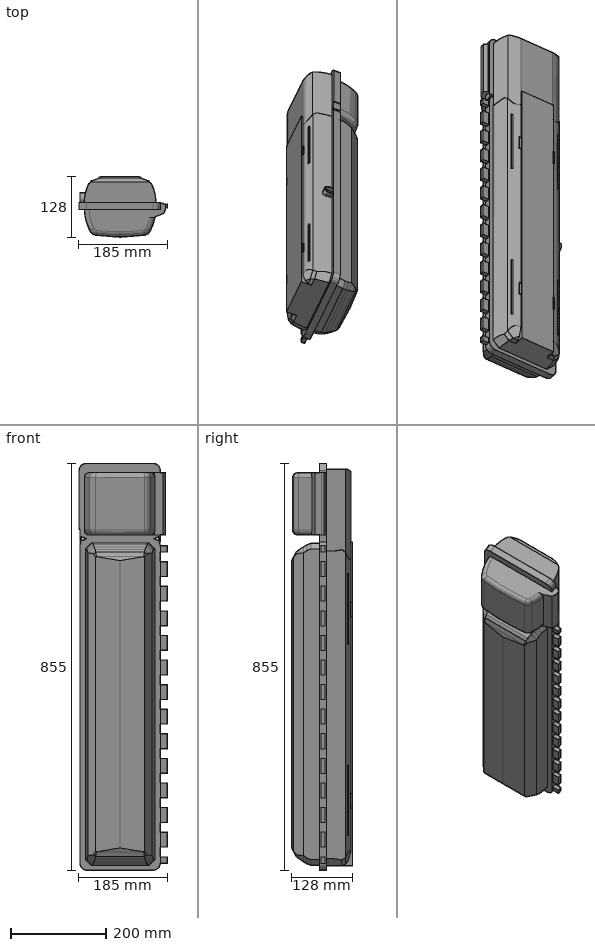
import cadquery as cq

TOTAL_HEIGHT = 855.0
TOTAL_DEPTH = 128.0

FLANGE_HALF_THICKNESS = 8.0
FLANGE_HALF_WIDTH = 85.0
LOWER_FLANGE_TOP = 697.0
FLANGE_CORNER_RADIUS = 15.0
HEAD_FLANGE_LEFT = -86.0
HEAD_FLANGE_BOTTOM = 716.0

NECK_BOTTOM = 690.0
NOTCH_MOUTH = 8.0
NOTCH_DEPTH = 10.0
STRAP_WIDTH = 3.0

SHELL_HALF_WIDTH = 75.0
SHELL_SIDE_BULGE = (73.0, 29.0)
SHELL_SIDE_END = (66.0, 47.0)
SHELL_BACK_BULGE = (55.0, 55.0)
SHELL_BACK = 59.0
SHELL_BACK_HALF_WIDTH = 40.0
SHELL_BOTTOM = 9.0
BODY_SHELL_TOP = 685.5
HEAD_SHELL_TOP = 843.0
HEAD_SHELL_BEVEL = (5.0, 8.5)
HEAD_SHELL_OVERLAP = 43.0
HEAD_SHELL_INSET = 0.4
SHELL_CORNER_CHAMFER = 14.0
SHELL_END_SECTIONS = [
    (0, SHELL_HALF_WIDTH, 0, SHELL_CORNER_CHAMFER),
    (39.0, 71.0, 0, SHELL_CORNER_CHAMFER),
    (SHELL_SIDE_END[1], SHELL_SIDE_END[0], 3.0, SHELL_CORNER_CHAMFER),
    (SHELL_BACK, 41.0, 18.0, SHELL_CORNER_CHAMFER),
]

PAD_BACK = 62.0
PAD_HALF_WIDTH = 40.0
PAD_ROOT = 38.5
PAD_BOTTOM = SHELL_BOTTOM
PAD_TOP = 690.0

MOUNT_BOTTOMS = (73.0, 474.0)
MOUNT_PLATE_HEIGHT = 149.0
MOUNT_PLATE_HALF_WIDTH = 61.0
MOUNT_PLATE_BACK = 54.0
MOUNT_HOOK_RISE = 58.0
MOUNT_HOOK_HEIGHT = 31.0
MOUNT_HOOK_HALF_WIDTH = 44.5
MOUNT_HOOK_BACK = 61.0

COVER_BOTTOM = 10.0
COVER_TOP = 687.0
COVER_HALF_WIDTH = 74.0
COVER_SHOULDER = (67.5, -41.0)
COVER_FRONT_EDGE = (51.0, -61.5)
COVER_CORNER_CHAMFER = 13.0
COVER_RIDGE = -(TOTAL_DEPTH - PAD_BACK)
COVER_END_SECTIONS = [
    (0, COVER_HALF_WIDTH, 0, COVER_CORNER_CHAMFER),
    (-25.0, 71.0, 0, COVER_CORNER_CHAMFER),
    (-33.0, 69.0, 3.0, COVER_CORNER_CHAMFER),
    (COVER_SHOULDER[1], COVER_SHOULDER[0], 8.0, COVER_CORNER_CHAMFER),
    (-50.5, 60.0, 14.0, 8.0),
    (-56.0, 55.5, 19.0, 4.0),
    (COVER_FRONT_EDGE[1], COVER_FRONT_EDGE[0], 28.0, 2.0),
    (COVER_RIDGE, 48.0, 37.0, 2.0),
]

END_MARGIN = 7.0

HEAD_BOX_BOTTOM = 704.0
HEAD_BOX_TOP = 835.0
HEAD_BOX_HALF_WIDTH = 75.0
HEAD_BOX_SIDE_BULGE = (73.0, -27.0)
HEAD_BOX_SIDE_END = (64.0, -51.0)
HEAD_BOX_CORNER_BULGE = (59.0, -58.0)
HEAD_BOX_FRONT_EDGE = (51.0, -61.5)
HEAD_BOX_FRONT = -64.0
HEAD_BOX_FILLET = 10.0

LIP_ROOT_X = 51.0
LIP_SHOULDER = (89.0, 7.0)
LIP_TIP = 96.0
LIP_TIP_BACK = 2.0
LIP_TIP_FRONT = -3.0
LIP_NOSE_BULGE = (94.0, -11.0)
LIP_NOSE_END = (91.0, -16.0)
LIP_FRONT_ROOT = (72.0, -24.0)

TOOTH_REACH = 99.0
TOOTH_OVERLAP = 4.0
TOOTH_HALF_THICKNESS = 4.0
TOOTH_HEIGHT = 32.0
TOOTH_COUNT = 12
TOOTH_ROW_LENGTH = 620.0
TOOTH_PITCH = TOOTH_ROW_LENGTH / TOOTH_COUNT
FIRST_TOOTH_BOTTOM = 49.0
END_TOOTH_HEIGHT = 14.0
END_TOOTH_BOTTOMS = (14.5, 668.0)

BUTTON_RADIUS = 13.0
BUTTON_Y = 15.0
BUTTON_Z = 348.0
BUTTON_LEFT = -85.0
BUTTON_RECESS_RADIUS = 10.0
BUTTON_RECESS_DEPTH = 7.0


def block(x0, x1, y0, y1, z0, z1):
    """Axis-aligned box between two opposite corners."""
    return cq.Workplane("XY").box(x1 - x0, y1 - y0, z1 - z0, centered=False).translate((x0, y0, z0))


def mirrored(point):
    """Point reflected to the other side of the centre plane."""
    return (-point[0], point[1])


def section_wire(y, half_width, corner, low, high):
    """Rectangle with chamfered corners, standing in the XZ plane at the given Y."""
    outer = half_width + END_MARGIN
    inner = half_width - corner
    leg = corner + END_MARGIN
    right = [(inner, low), (outer, low + leg), (outer, high - leg), (inner, high)]
    left = [mirrored(point) for point in right[::-1]]
    return cq.Wire.makePolygon([cq.Vector(x, y, z) for x, z in right + left], close=True)


def end_shaper(sections, bottom, top):
    """Block whose ends step back from section to section; intersecting it with a prism shapes the ends."""
    wires = [
        section_wire(y, half_width, corner, bottom + setback, top - setback)
        for y, half_width, setback, corner in sections
    ]
    return cq.Workplane(cq.Solid.makeLoft(wires, True))


def make_flange():
    half = FLANGE_HALF_THICKNESS
    lower = block(-FLANGE_HALF_WIDTH, FLANGE_HALF_WIDTH, -half, half, 0, LOWER_FLANGE_TOP)
    lower = lower.edges("|Y").fillet(FLANGE_CORNER_RADIUS)
    head = block(HEAD_FLANGE_LEFT, FLANGE_HALF_WIDTH, -half, half, HEAD_FLANGE_BOTTOM, TOTAL_HEIGHT)
    head = head.edges("|Y and >Z").fillet(FLANGE_CORNER_RADIUS)
    neck = block(-FLANGE_HALF_WIDTH, FLANGE_HALF_WIDTH, -half, half, NECK_BOTTOM, HEAD_FLANGE_BOTTOM)
    flange = lower.union(head).union(neck)

    mouth_x = FLANGE_HALF_WIDTH - STRAP_WIDTH
    notch_z = LOWER_FLANGE_TOP
    for side in (-1, 1):
        notch = (
            cq.Workplane("XZ")
            .moveTo(side * mouth_x, notch_z - NOTCH_MOUTH / 2)
            .lineTo(side * mouth_x, notch_z + NOTCH_MOUTH / 2)
            .lineTo(side * (mouth_x - NOTCH_DEPTH), notch_z)
            .close()
            .extrude(half, both=True)
        )
        flange = flange.cut(notch)
    return flange


def shell_prism(inset, bottom, top):
    """Rear housing prism: flat back blending through arcs into the sides, which move in by the inset."""

    def inward(point):
        return (point[0] - inset, point[1])

    base = inward((SHELL_HALF_WIDTH, 0))
    side_bulge = inward(SHELL_SIDE_BULGE)
    side_end = inward(SHELL_SIDE_END)
    back_bulge = inward(SHELL_BACK_BULGE)
    back_edge = (SHELL_BACK_HALF_WIDTH, SHELL_BACK)
    return (
        cq.Workplane("XY", origin=(0, 0, bottom))
        .moveTo(*base)
        .threePointArc(side_bulge, side_end)
        .threePointArc(back_bulge, back_edge)
        .lineTo(*mirrored(back_edge))
        .threePointArc(mirrored(back_bulge), mirrored(side_end))
        .threePointArc(mirrored(side_bulge), mirrored(base))
        .close()
        .extrude(top - bottom)
    )


def make_rear_shell():
    body = shell_prism(0, SHELL_BOTTOM, BODY_SHELL_TOP)
    ends = end_shaper(SHELL_END_SECTIONS, SHELL_BOTTOM, BODY_SHELL_TOP)
    body = body.intersect(ends)

    head_bottom = BODY_SHELL_TOP - HEAD_SHELL_OVERLAP
    head = shell_prism(HEAD_SHELL_INSET, head_bottom, HEAD_SHELL_TOP)
    bevel_height, bevel_depth = HEAD_SHELL_BEVEL
    bevel = (
        cq.Workplane("YZ")
        .moveTo(SHELL_BACK - bevel_depth, HEAD_SHELL_TOP)
        .lineTo(SHELL_BACK, HEAD_SHELL_TOP)
        .lineTo(SHELL_BACK, HEAD_SHELL_TOP - bevel_height)
        .close()
        .extrude(SHELL_HALF_WIDTH, both=True)
    )
    pad = block(-PAD_HALF_WIDTH, PAD_HALF_WIDTH, PAD_ROOT, PAD_BACK, PAD_BOTTOM, PAD_TOP)
    return body.union(head.cut(bevel)).union(pad)


def make_wall_mount(bottom):
    plate_half = MOUNT_PLATE_HALF_WIDTH
    plate = block(-plate_half, plate_half, PAD_ROOT, MOUNT_PLATE_BACK, bottom, bottom + MOUNT_PLATE_HEIGHT)
    hook_half = MOUNT_HOOK_HALF_WIDTH
    hook_bottom = bottom + MOUNT_HOOK_RISE
    hook_top = hook_bottom + MOUNT_HOOK_HEIGHT
    hook = block(-hook_half, hook_half, PAD_ROOT, MOUNT_HOOK_BACK, hook_bottom, hook_top)
    return plate.union(hook)


def make_cover():
    right_half = [(COVER_HALF_WIDTH, 0), COVER_SHOULDER, COVER_FRONT_EDGE]
    left_half = [mirrored(point) for point in right_half[::-1]]
    outline = right_half + [(0, COVER_RIDGE)] + left_half
    prism = cq.Workplane("XY").polyline(outline).close().extrude(COVER_TOP)
    return prism.intersect(end_shaper(COVER_END_SECTIONS, COVER_BOTTOM, COVER_TOP))


def make_head_box():
    plane = cq.Workplane("XY", origin=(0, 0, HEAD_BOX_BOTTOM))
    height = HEAD_BOX_TOP - HEAD_BOX_BOTTOM
    box = (
        plane
        .moveTo(-HEAD_BOX_HALF_WIDTH, 0)
        .threePointArc(mirrored(HEAD_BOX_SIDE_BULGE), mirrored(HEAD_BOX_SIDE_END))
        .threePointArc(mirrored(HEAD_BOX_CORNER_BULGE), mirrored(HEAD_BOX_FRONT_EDGE))
        .threePointArc((0, HEAD_BOX_FRONT), HEAD_BOX_FRONT_EDGE)
        .threePointArc(HEAD_BOX_CORNER_BULGE, HEAD_BOX_SIDE_END)
        .threePointArc(HEAD_BOX_SIDE_BULGE, (HEAD_BOX_HALF_WIDTH, 0))
        .close()
        .extrude(height)
    )
    box = box.faces("<Z or >Z").edges("not >Y").fillet(HEAD_BOX_FILLET)
    lip = (
        plane
        .moveTo(LIP_ROOT_X, 0)
        .lineTo(*LIP_SHOULDER)
        .lineTo(LIP_TIP, LIP_TIP_BACK)
        .lineTo(LIP_TIP, LIP_TIP_FRONT)
        .threePointArc(LIP_NOSE_BULGE, LIP_NOSE_END)
        .lineTo(*LIP_FRONT_ROOT)
        .lineTo(LIP_ROOT_X, LIP_FRONT_ROOT[1])
        .close()
        .extrude(height)
    )
    return box.union(lip)


def make_tooth(bottom, height):
    root = FLANGE_HALF_WIDTH - TOOTH_OVERLAP
    return block(root, TOOTH_REACH, -TOOTH_HALF_THICKNESS, TOOTH_HALF_THICKNESS, bottom, bottom + height)


def make_button():
    length = -BUTTON_LEFT - SHELL_HALF_WIDTH / 2
    plane = cq.Workplane("YZ", origin=(BUTTON_LEFT, BUTTON_Y, BUTTON_Z))
    recess = plane.circle(BUTTON_RECESS_RADIUS).extrude(BUTTON_RECESS_DEPTH)
    return plane.circle(BUTTON_RADIUS).extrude(length).cut(recess)


result = make_flange().union(make_rear_shell()).union(make_cover()).union(make_head_box())
for index in range(TOOTH_COUNT):
    result = result.union(make_tooth(FIRST_TOOTH_BOTTOM + index * TOOTH_PITCH, TOOTH_HEIGHT))
for tooth_bottom in END_TOOTH_BOTTOMS:
    result = result.union(make_tooth(tooth_bottom, END_TOOTH_HEIGHT))
for mount_bottom in MOUNT_BOTTOMS:
    result = result.union(make_wall_mount(mount_bottom))
result = result.union(make_button())